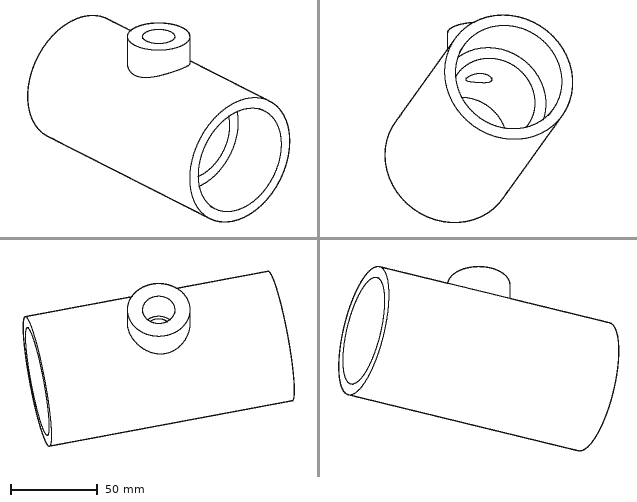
import cadquery as cq

pipe_length = 143.0
pipe_diameter = 76.0
bore_diameter = 50.0
socket_diameter = 63.0
socket_depth = 38.0

overall_height = 90.5
branch_diameter = 36.0
branch_socket_diameter = 18.6
branch_socket_depth = 21.5
branch_bore_diameter = 15.0

branch_top = overall_height - pipe_diameter / 2


def cylinder_along_x(diameter, start, length):
    return cq.Workplane("YZ", origin=(start, 0, 0)).circle(diameter / 2).extrude(length)


def cylinder_below_branch_top(diameter, depth):
    return cq.Workplane("XY", origin=(0, 0, branch_top)).circle(diameter / 2).extrude(-depth)


body = cylinder_along_x(pipe_diameter, -pipe_length / 2, pipe_length)
body = body.union(cylinder_below_branch_top(branch_diameter, branch_top))

body = body.cut(cylinder_along_x(bore_diameter, -pipe_length / 2, pipe_length))
for socket_start in (-pipe_length / 2, pipe_length / 2 - socket_depth):
    body = body.cut(cylinder_along_x(socket_diameter, socket_start, socket_depth))

body = body.cut(cylinder_below_branch_top(branch_socket_diameter, branch_socket_depth))
body = body.cut(cylinder_below_branch_top(branch_bore_diameter, branch_top))

result = body